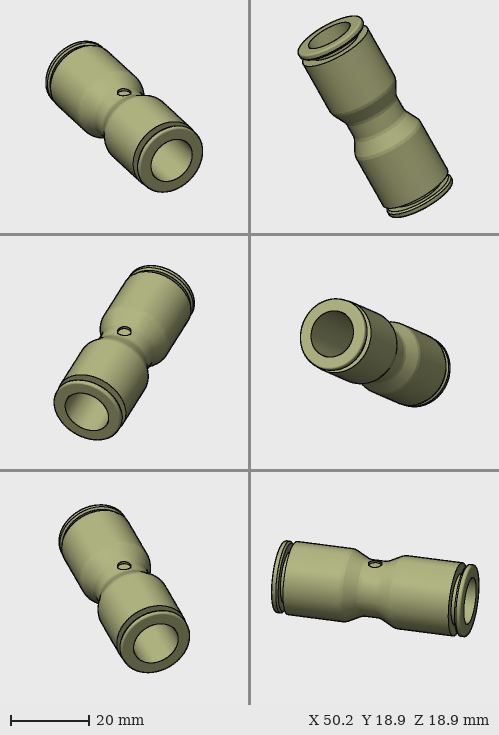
import cadquery as cq

length = 50.25
half_length = length / 2

body_radius = 9.47
collar_radius = 9.3
waist_radius = 7.35
neck_radius = 6.65
bore_radius = 6.05

collar_width = 1.75
neck_width = 1.45
body_end = half_length - collar_width - neck_width
cone_outer_end = 6.7
cone_inner_end = 2.4

collar_round = 0.5
collar_chamfer = 0.5
cone_round = 2.0

recess_radius = 1.75
recess_floor = 6.65


def cylinder(radius, start, width):
    """Solid cylinder along +X, beginning at x = start."""
    return cq.Workplane("YZ").workplane(offset=start).circle(radius).extrude(width)


def make_body():
    """Two full-diameter barrels joined by cones to a narrower waist."""
    profile = [
        (-body_end, 0),
        (-body_end, body_radius),
        (-cone_outer_end, body_radius),
        (-cone_inner_end, waist_radius),
        (cone_inner_end, waist_radius),
        (cone_outer_end, body_radius),
        (body_end, body_radius),
        (body_end, 0),
    ]
    body = cq.Workplane("XY").polyline(profile).close().revolve(360, (0, 0, 0), (1, 0, 0))
    for x in (-cone_outer_end, -cone_inner_end, cone_inner_end, cone_outer_end):
        slab = cq.selectors.BoxSelector(
            (x - cone_round, -body_radius, -body_radius),
            (x + cone_round, body_radius, body_radius),
        )
        body = body.edges("%CIRCLE").edges(slab).fillet(cone_round)
    return body


def make_collar():
    """Release collar at the -X end: outer rim rounded, inner rim chamfered."""
    collar = cylinder(collar_radius, -half_length, collar_width)
    collar = collar.faces("<X").edges().fillet(collar_round)
    return collar.faces(">X").edges().chamfer(collar_chamfer)


def make_recess():
    """Cutter for the flat-bottomed recess on top of the waist."""
    depth = body_radius - recess_floor
    return cq.Workplane("XY").workplane(offset=recess_floor).circle(recess_radius).extrude(depth)


neck_length = length - 2 * collar_round
collar = make_collar()
result = make_body().union(cylinder(neck_radius, -neck_length / 2, neck_length))
result = result.union(collar).union(collar.mirror("YZ"))
result = result.cut(make_recess())
result = result.cut(cylinder(bore_radius, -half_length, length))